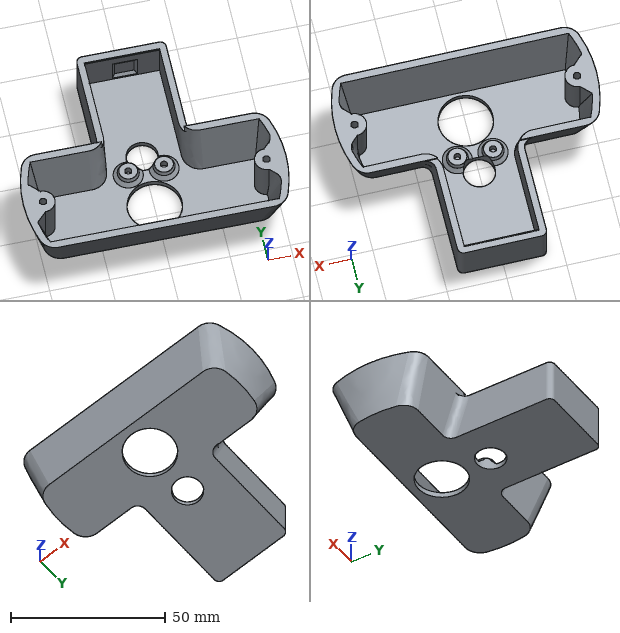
import cadquery as cq
import math

height = 18.0
floor = 2.0
wall = 2.5
top_half_length = 43.7
top_half_width = 17.9
bottom_half_length = 39.0
bottom_half_width = 12.0
end_radius = 42.0
corner_radius = 6.0

arm_height = 15.75
arm_half_width = 14.9
arm_end_y = 52.0
arm_corner_radius = 2.0
arm_cavity_half_width = 12.5
arm_cavity_end_y = arm_end_y - wall
outer_junction_radius = 3.15
inner_junction_radius = 6.0

pocket_width = 8.4
pocket_x = 1.0
pocket_bottom = 2.7
pocket_height = 9.0
pocket_depth = 1.0
pocket_side_inset = 1.0
pocket_top_inset = 2.0
groove_height = 0.4
groove_depth = 0.3
groove_rim = 0.35
groove_top = arm_height - groove_rim

boss_x = 37.2
boss_radius = 3.9
boss_hole_diameter = 2.4
web_fillet = 3.5
web_reach = 0.9

large_hole_diameter = 18.0
small_hole_diameter = 10.5
small_hole_y = 18.9
post_x = 5.95
post_y = 13.0
post_base_radius = 4.9
post_shoulder_radius = 3.6
post_top_radius = 3.1
post_shoulder_height = 1.4
post_height = 2.6
post_hole_diameter = 2.2


def bowed_outline(z, half_length, half_width, end_radius):
    """Rectangle whose short ends bow outward, at height z."""
    sagitta = end_radius - math.sqrt(end_radius**2 - half_width**2)
    corner_x = half_length - sagitta
    return (
        cq.Workplane("XY", origin=(0, 0, z))
        .moveTo(-corner_x, -half_width)
        .lineTo(corner_x, -half_width)
        .threePointArc((half_length, 0), (corner_x, half_width))
        .lineTo(-corner_x, half_width)
        .threePointArc((-half_length, 0), (-corner_x, -half_width))
        .close()
        .val()
    )


def drafted_block(lower, upper):
    return cq.Workplane(cq.Solid.makeLoft([lower, upper], True))


def box_between(x0, x1, y0, y1, z0, z1):
    return cq.Workplane("XY").box(x1 - x0, y1 - y0, z1 - z0, centered=False).translate((x0, y0, z0))


def fillet_junctions(body, half_width, radius, z_mid, y_mid):
    """Round the two slanted inside corners where the arm leaves the tub."""
    reach = 0.4
    for x in (-half_width, half_width):
        selector = cq.selectors.BoxSelector(
            (x - reach, y_mid - reach, z_mid - reach), (x + reach, y_mid + reach, z_mid + reach)
        )
        body = body.edges(selector).fillet(radius)
    return body


def side_y(z):
    """Half width of the drafted tub at height z."""
    return bottom_half_width + (top_half_width - bottom_half_width) * z / height


def end_x(z):
    """Half length of the drafted tub at height z."""
    return bottom_half_length + (top_half_length - bottom_half_length) * z / height


def outer_body():
    lower = bowed_outline(0, bottom_half_length, bottom_half_width, end_radius)
    upper = bowed_outline(height, top_half_length, top_half_width, end_radius)
    corner_reach = arm_half_width + corner_radius
    tub = drafted_block(lower, upper)
    for x0, x1 in ((-top_half_length, -corner_reach), (corner_reach, top_half_length)):
        ends = cq.selectors.BoxSelector(
            (x0, -top_half_width, height / 4), (x1, top_half_width, height * 3 / 4)
        )
        tub = tub.edges(ends).fillet(corner_radius)
    arm = box_between(-arm_half_width, arm_half_width, 0, arm_end_y, 0, arm_height)
    arm = arm.edges("|Z and >Y").fillet(arm_corner_radius)
    z_mid = arm_height / 2
    return fillet_junctions(tub.union(arm), arm_half_width, outer_junction_radius, z_mid, side_y(z_mid))


def cavity():
    floor_half_width = side_y(floor) - wall
    top_cavity_half_width = top_half_width - wall
    lower = bowed_outline(floor, end_x(floor) - wall, floor_half_width, end_radius - wall)
    upper = bowed_outline(
        height, top_half_length - wall, top_cavity_half_width, end_radius - wall
    )
    tub = drafted_block(lower, upper)
    arm = box_between(
        -arm_cavity_half_width, arm_cavity_half_width, 0, arm_cavity_end_y, floor, height
    )
    z_mid = (floor + height) / 2
    y_mid = (floor_half_width + top_cavity_half_width) / 2
    return fillet_junctions(
        tub.union(arm), arm_cavity_half_width, inner_junction_radius, z_mid, y_mid
    )


def boss(side):
    """Screw boss joined to the end wall by a web that flares at 45 degrees."""
    flare = top_half_length - boss_x
    web = (
        cq.Workplane("XY", origin=(0, 0, floor))
        .polyline([
            (side * boss_x, -boss_radius),
            (side * top_half_length, -boss_radius - flare),
            (side * top_half_length, boss_radius + flare),
            (side * boss_x, boss_radius),
        ])
        .close()
        .extrude(height - floor)
    )
    cylinder = (
        cq.Workplane("XY", origin=(side * boss_x, 0, floor)).circle(boss_radius).extrude(height - floor)
    )
    return web.union(cylinder)


def post(x):
    """Stepped conical post standing on the floor."""
    return (
        cq.Workplane("XZ")
        .polyline([
            (0, 0),
            (post_base_radius, 0),
            (post_shoulder_radius, post_shoulder_height),
            (post_top_radius, post_height),
            (0, post_height),
        ])
        .close()
        .revolve(360, (0, 0, 0), (0, 1, 0))
        .translate((x, post_y, floor))
    )


def hole(x, y, diameter, z0, z1):
    return cq.Workplane("XY", origin=(x, y, z0)).circle(diameter / 2).extrude(z1 - z0)


def pocket():
    """Blind pocket in the arm's end wall that narrows towards its back."""
    mouth = pocket_outline(arm_cavity_end_y, 0, 0)
    back = pocket_outline(arm_cavity_end_y + pocket_depth, pocket_side_inset, pocket_top_inset)
    return drafted_block(mouth, back)


def pocket_outline(y, side_inset, top_inset):
    """Pocket rectangle at depth y, drawn in by side_inset at the sides and bottom."""
    x0 = pocket_x - pocket_width / 2 + side_inset
    x1 = pocket_x + pocket_width / 2 - side_inset
    z0 = pocket_bottom + side_inset
    z1 = pocket_bottom + pocket_height - top_inset
    corners = [cq.Vector(x, y, z) for x, z in ((x0, z0), (x1, z0), (x1, z1), (x0, z1))]
    return cq.Wire.makePolygon(corners, close=True)


inside = cavity()
for side in (-1, 1):
    inside = inside.cut(boss(side))
web_corners = cq.selectors.BoxSelector(
    (boss_x + web_reach, -2 * boss_radius, height / 2),
    (top_half_length, 2 * boss_radius, height - wall),
)
inside = inside.edges(web_corners).fillet(web_fillet)
result = outer_body().cut(inside)

for x in (-post_x, post_x):
    result = result.union(post(x))
    result = result.cut(hole(x, post_y, post_hole_diameter, floor, floor + post_height))

result = result.cut(hole(0, 0, large_hole_diameter, 0, height))
result = result.cut(hole(0, small_hole_y, small_hole_diameter, 0, height))
for x in (-boss_x, boss_x):
    result = result.cut(hole(x, 0, boss_hole_diameter, floor, height))

result = result.cut(pocket())
result = result.cut(box_between(
    -arm_cavity_half_width, arm_cavity_half_width,
    arm_cavity_end_y, arm_cavity_end_y + groove_depth,
    groove_top - groove_height, groove_top,
))